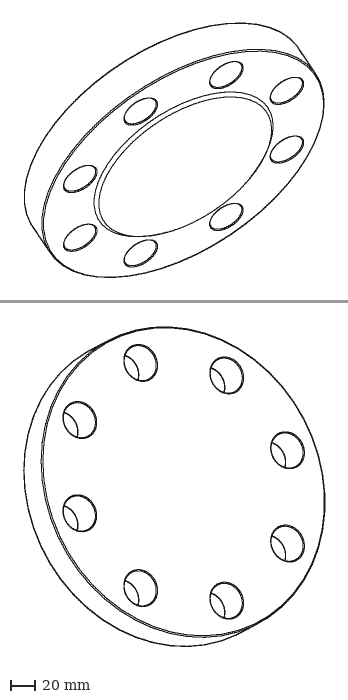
import cadquery as cq

flange_diameter = 265.0
total_thickness = 36.0
face_height = 3.0
face_diameter = 162.2
face_base_diameter = 168.0
rim_chamfer = 1.0

hole_count = 8
hole_diameter = 30.0
bolt_circle_diameter = 210.0
hole_chamfer = 0.8

plate_thickness = total_thickness - face_height
hole_pitch = 360 / hole_count


def flange_body():
    """Revolve the half section: chamfered plate and raised face with a conical edge."""
    radius = flange_diameter / 2
    section = (
        cq.Workplane("XY")
        .lineTo(0, radius - rim_chamfer)
        .lineTo(rim_chamfer, radius)
        .lineTo(plate_thickness - rim_chamfer, radius)
        .lineTo(plate_thickness, radius - rim_chamfer)
        .lineTo(plate_thickness, face_base_diameter / 2)
        .lineTo(total_thickness, face_diameter / 2)
        .lineTo(total_thickness, 0)
        .close()
    )
    return section.revolve(360, (0, 0, 0), (1, 0, 0))


def bolt_hole_cutter():
    """Hole through the plate, chamfered at both ends, on the X axis."""
    radius = hole_diameter / 2
    section = (
        cq.Workplane("XY")
        .lineTo(0, radius + hole_chamfer)
        .lineTo(hole_chamfer, radius)
        .lineTo(plate_thickness - hole_chamfer, radius)
        .lineTo(plate_thickness, radius + hole_chamfer)
        .lineTo(plate_thickness, 0)
        .close()
    )
    return section.revolve(360, (0, 0, 0), (1, 0, 0))


result = flange_body()
first_hole = bolt_hole_cutter().translate((0, bolt_circle_diameter / 2, 0))
for index in range(hole_count):
    angle = (index + 0.5) * hole_pitch
    result = result.cut(first_hole.rotate((0, 0, 0), (1, 0, 0), angle))